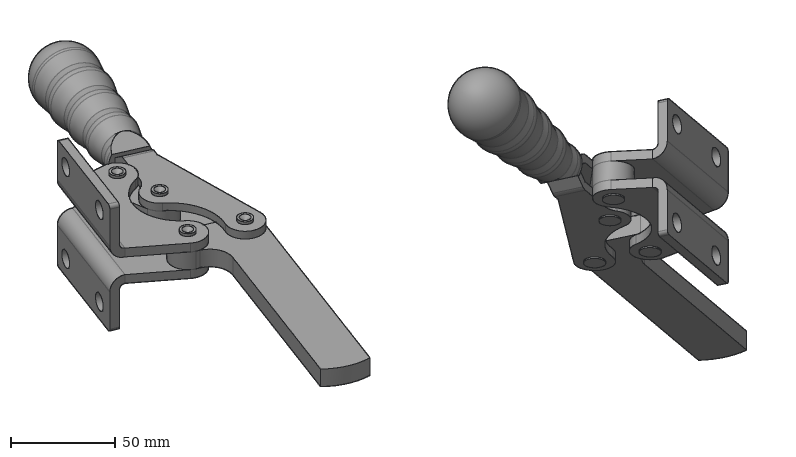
import cadquery as cq
import math


overall_length = 314.5
base_bottom_y = -47.0
lug_radius = 10.0
bracket_saddle_radius = 24.5
handle_saddle_radius = 28.0
core_half = 5.0
sheet = 5.0
handle_sheet = 4.5

link_base_pivot = (121.0, -16.7)
link_handle_pivot = (142.8, -3.8)
arm_handle_pivot = (181.7, 24.2)
arm_base_pivot = (181.7, -5.7)

base_left_x = 118.5
base_width = 64.8
flange_span = 72.0
bend_radius = 2.8
flange_corner = 2.0
hole_radius = 4.7
hole_inset = 10.5
hole_spacing = 41.5
hole_z = 26.0

bar_bottom_y = 8.5
bar_end_bulge = 2.5
arm_fillet = 12.0

neck_half_height = 8.2
neck_bend_x = 108.0
neck_bend_angle = 34.0
taper_start_x = 111.3
root_fillet = 10.0

ball_radius = 18.0
ball_end_x = 19.5
shoulder_x = 21.0
shoulder_radius = 17.5
grip_end_x = 98.0
first_groove_x = 31.8
groove_pitch = 19.0
groove_count = 4
first_groove_radius = 16.5
groove_radius_step = 1.73
ridge_height = 0.5
ridge_offset = 4.7
ridge_width = 3.0
ridge_crown = 0.15
wedge_angle = 28.0

rivet_radius = 4.0
rivet_bore = 2.8
rivet_bore_depth = 2.2
rivet_stand = 1.5
rivet_head_radius = 5.5
rivet_head_height = 0.8

bracket_half = core_half + sheet
handle_half = core_half + handle_sheet
outer_bend = bend_radius + sheet
bend_y = base_bottom_y + outer_bend
base_right_x = base_left_x + base_width
bar_top_y = arm_handle_pivot[1] + lug_radius


def on_circle(center, radius, degrees):
    angle = math.radians(degrees)
    return (center[0] + radius * math.cos(angle), center[1] + radius * math.sin(angle))


def toward(start, target, distance):
    """Point at the given distance from start, on the way to target."""
    ratio = distance / math.dist(start, target)
    return (start[0] + ratio * (target[0] - start[0]), start[1] + ratio * (target[1] - start[1]))


def tangent_point(center, radius, point, side):
    """Where a line from point touches the circle; side +1 or -1 picks the touch."""
    bearing = math.atan2(point[1] - center[1], point[0] - center[0])
    swing = math.acos(radius / math.dist(center, point))
    return on_circle(center, radius, math.degrees(bearing + side * swing))


def saddle_center(first, second, radius, side):
    """Centre of the saddle arc that touches both lugs from outside."""
    span = math.dist(first, second)
    rise = side * math.sqrt((radius + lug_radius) ** 2 - (span / 2) ** 2)
    along = ((second[0] - first[0]) / span, (second[1] - first[1]) / span)
    middle = ((first[0] + second[0]) / 2, (first[1] + second[1]) / 2)
    return (middle[0] - rise * along[1], middle[1] + rise * along[0])


def slab(outline, bottom_z, top_z):
    return outline.extrude(top_z - bottom_z).translate((0, 0, bottom_z))


def both_sides(half):
    return half.union(half.mirror("XY"))


def bracket_half_part():
    saddle = saddle_center(link_base_pivot, arm_base_pivot, bracket_saddle_radius, 1)
    left_foot = (base_left_x, bend_y)
    right_foot = (base_right_x, bend_y)
    outline = (
        cq.Workplane("XY")
        .moveTo(*left_foot)
        .lineTo(*tangent_point(link_base_pivot, lug_radius, left_foot, -1))
        .threePointArc(on_circle(link_base_pivot, lug_radius, 120),
                       toward(link_base_pivot, saddle, lug_radius))
        .threePointArc(on_circle(saddle, bracket_saddle_radius, -90),
                       toward(arm_base_pivot, saddle, lug_radius))
        .threePointArc(on_circle(arm_base_pivot, lug_radius, 75),
                       tangent_point(arm_base_pivot, lug_radius, right_foot, 1))
        .lineTo(*right_foot)
        .close()
    )
    plate = slab(outline, core_half, bracket_half)

    bend_center = (bend_y, bracket_half + bend_radius)
    flange = (
        cq.Workplane("YZ")
        .moveTo(bend_y, core_half)
        .threePointArc(on_circle(bend_center, outer_bend, 225), (base_bottom_y, bend_center[1]))
        .lineTo(base_bottom_y, flange_span / 2)
        .lineTo(base_bottom_y + sheet, flange_span / 2)
        .lineTo(base_bottom_y + sheet, bend_center[1])
        .threePointArc(on_circle(bend_center, bend_radius, 225), (bend_y, bracket_half))
        .close()
        .extrude(base_width)
        .translate((base_left_x, 0, 0))
        .edges("|Y and >Z")
        .fillet(flange_corner)
    )
    first_hole_x = base_left_x + hole_inset
    for hole_x in (first_hole_x, first_hole_x + hole_spacing):
        hole = cq.Workplane("XZ").center(hole_x, hole_z).circle(hole_radius).extrude(-base_bottom_y)
        flange = flange.cut(hole)
    return plate.union(flange)


def arm():
    leg_right_x = arm_base_pivot[0] + lug_radius
    leg_left_x = arm_base_pivot[0] - lug_radius
    corner_x = overall_length - bar_end_bulge
    fillet_center = (leg_right_x + arm_fillet, bar_bottom_y - arm_fillet)
    outline = (
        cq.Workplane("XY")
        .moveTo(leg_left_x, arm_base_pivot[1])
        .lineTo(leg_left_x, arm_handle_pivot[1])
        .threePointArc(on_circle(arm_handle_pivot, lug_radius, 135), (arm_handle_pivot[0], bar_top_y))
        .lineTo(corner_x, bar_top_y)
        .threePointArc((overall_length, (bar_top_y + bar_bottom_y) / 2), (corner_x, bar_bottom_y))
        .lineTo(fillet_center[0], bar_bottom_y)
        .threePointArc(on_circle(fillet_center, arm_fillet, 135), (leg_right_x, fillet_center[1]))
        .lineTo(leg_right_x, arm_base_pivot[1])
        .threePointArc(on_circle(arm_base_pivot, lug_radius, -90), (leg_left_x, arm_base_pivot[1]))
        .close()
    )
    return slab(outline, -core_half, core_half)


def link():
    run = link_handle_pivot[0] - link_base_pivot[0]
    rise = link_handle_pivot[1] - link_base_pivot[1]
    length = math.hypot(run, rise)
    outline = (
        cq.Workplane("XY")
        .center(link_base_pivot[0] + run / 2, link_base_pivot[1] + rise / 2)
        .slot2D(length + 2 * lug_radius, 2 * lug_radius, math.degrees(math.atan2(rise, run)))
    )
    return slab(outline, -core_half, core_half)


def handle_plate():
    saddle = saddle_center(link_handle_pivot, arm_handle_pivot, handle_saddle_radius, -1)
    root_y = -neck_half_height - root_fillet
    root_reach = math.sqrt((lug_radius + root_fillet) ** 2 - (link_handle_pivot[1] - root_y) ** 2)
    root_center = (link_handle_pivot[0] - root_reach, root_y)
    taper_start = (taper_start_x, neck_half_height)
    outline = (
        cq.Workplane("XY")
        .moveTo(neck_bend_x, -neck_half_height)
        .lineTo(root_center[0], -neck_half_height)
        .threePointArc(on_circle(root_center, root_fillet, 70),
                       toward(link_handle_pivot, root_center, lug_radius))
        .threePointArc(on_circle(link_handle_pivot, lug_radius, -75),
                       toward(link_handle_pivot, saddle, lug_radius))
        .threePointArc(on_circle(saddle, handle_saddle_radius, 140),
                       toward(arm_handle_pivot, saddle, lug_radius))
        .threePointArc(on_circle(arm_handle_pivot, lug_radius, 0),
                       tangent_point(arm_handle_pivot, lug_radius, taper_start, -1))
        .lineTo(*taper_start)
        .lineTo(neck_bend_x, neck_half_height)
        .close()
    )
    return slab(outline, core_half, handle_half)


def neck():
    """Sheet folded about its inner corner until it meets its mirror image inside the grip."""
    corner = (neck_bend_x, core_half)
    slope = math.tan(math.radians(neck_bend_angle))
    fold_end = on_circle(corner, handle_sheet, 90 + neck_bend_angle)
    profile = (
        cq.Workplane("XZ")
        .moveTo(*corner)
        .lineTo(neck_bend_x, handle_half)
        .threePointArc(on_circle(corner, handle_sheet, 90 + neck_bend_angle / 2), fold_end)
        .lineTo(fold_end[0] - fold_end[1] / slope, 0)
        .lineTo(neck_bend_x - core_half / slope, 0)
        .close()
    )
    return profile.extrude(neck_half_height, both=True)


def grip():
    ball_end_radius = math.sqrt(ball_radius ** 2 - (ball_end_x - ball_radius) ** 2)
    profile = (
        cq.Workplane("XY")
        .moveTo(0, 0)
        .threePointArc(on_circle((ball_radius, 0), ball_radius, 135), (ball_end_x, ball_end_radius))
        .lineTo(shoulder_x, shoulder_radius)
    )
    for index in range(groove_count):
        groove_x = first_groove_x + index * groove_pitch
        groove_radius = first_groove_radius - index * groove_radius_step
        ridge_x = groove_x + ridge_offset
        ridge_radius = groove_radius + ridge_height
        profile = (
            profile.lineTo(groove_x, groove_radius)
            .lineTo(ridge_x, ridge_radius)
            .threePointArc((ridge_x + ridge_width / 2, ridge_radius + ridge_crown),
                           (ridge_x + ridge_width, ridge_radius))
        )
    last_groove_x = first_groove_x + (groove_count - 1) * groove_pitch
    last_groove_radius = first_groove_radius - (groove_count - 1) * groove_radius_step
    end_radius = last_groove_radius + ridge_height - ridge_crown
    body = (
        profile.lineTo(grip_end_x, end_radius)
        .lineTo(grip_end_x, 0)
        .close()
        .revolve(360, (0, 0, 0), (1, 0, 0))
    )

    flat_length = 2 * (grip_end_x - last_groove_x)
    flat_drop = flat_length * math.tan(math.radians(wedge_angle))
    flat = (
        cq.Workplane("XZ")
        .moveTo(last_groove_x, last_groove_radius)
        .lineTo(last_groove_x + flat_length, last_groove_radius - flat_drop)
        .lineTo(last_groove_x + flat_length, ball_radius)
        .lineTo(last_groove_x, ball_radius)
        .close()
        .extrude(ball_radius, both=True)
    )
    return body.cut(flat).cut(flat.mirror("XY"))


def rivet(pivot, plate_half):
    top_z = plate_half + rivet_stand
    shank = slab(cq.Workplane("XY").center(*pivot).circle(rivet_radius), -plate_half, top_z)
    head_bottom = -plate_half - rivet_head_height
    head = slab(cq.Workplane("XY").center(*pivot).circle(rivet_head_radius), head_bottom, 0)
    return shank.union(head)


def rivet_recess(pivot, plate_half):
    """Conical recess in the hollow end of a rivet, point down."""
    top = cq.Vector(*pivot, plate_half + rivet_stand)
    return cq.Workplane(cq.Solid.makeCone(rivet_bore, 0, rivet_bore_depth, top, cq.Vector(0, 0, -1)))


rivets = [
    (link_base_pivot, bracket_half),
    (arm_base_pivot, bracket_half),
    (link_handle_pivot, handle_half),
    (arm_handle_pivot, handle_half),
]

result = both_sides(handle_plate().union(neck())).union(grip())
for plate in (arm(), link(), both_sides(bracket_half_part())):
    result = result.union(plate, clean=False)
for pivot, plate_half in rivets:
    result = result.union(rivet(pivot, plate_half), clean=False)
    result = result.cut(rivet_recess(pivot, plate_half), clean=False)